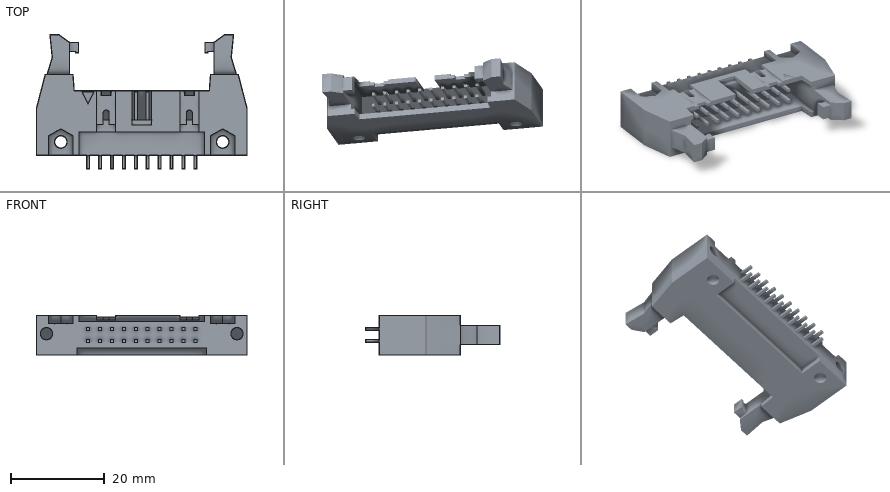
import cadquery as cq


length = 45.0
height = 8.5
mouth_y = 13.8
tower_y = 17.32
shoulder_y = 10.05
tower_outer_x = 20.6
tower_inner_x = 14.65
tower_root_x = 14.4
mid_z = 4.3

wall = 1.05
cavity_floor_y = 7.5
cavity_half_length = 15.4
cavity_top_z = height - wall
cavity_height = 2 * (cavity_top_z - mid_z)

step_y = 5.05
top_step_length = 26.75
top_step_depth = 1.3
bottom_step_length = 27.65
bottom_step_height = 1.58

pins_per_row = 10
pin_row_length = 22.85
pitch = pin_row_length / (pins_per_row - 1)
pin_width = 0.65
pin_tail = 2.9
pin_tip_y = 13.6

key_width = 4.2
key_start_y = 6.5

groove_centers = (-7.6, 10.15)
groove_width = 4.05
groove_depth = 0.3
groove_step_y = 6.6
slot_width = 1.3
slot_end_y = 9.68
notch_width = 2.1
notch_depth = 1.0

mark_center_x = -11.48
mark_width = 2.55
mark_base_y = 13.6
mark_tip_y = 11.02
mark_depth = 0.2

hole_diameter = 2.6
mount_x = 17.3
mount_y = 2.9
pocket_width = 5.2
pocket_side_y = 4.2
pocket_tip_y = 5.65
pocket_depth = 1.75
face_hole_x = 20.35
face_hole_z = 4.6
face_hole_depth = 5.4

latch_tip_y = 25.8
latch_height = 4.15
latch_inner_x = cavity_half_length
latch_root_x = 20.2
latch_waist = (19.12, 20.92)
latch_tip_outer_x = 19.6
latch_tip_inner_x = 17.7
hook_end_x = 13.5
hook_top_y = 24.1
hook_bottom_y = 22.2
hook_height = 2.92
lip_width = 0.65
lip_drop = 0.25


def block(x0, x1, y0, y1, z0, z1):
    """Box between two opposite corners."""
    return cq.Workplane("XY").box(x1 - x0, y1 - y0, z1 - z0, centered=False).translate((x0, y0, z0))


def centered_block(center_x, width, y0, y1, z0, z1):
    """Box of a given width about center_x."""
    return block(center_x - width / 2, center_x + width / 2, y0, y1, z0, z1)


def prism(points, z0, z1):
    """Closed polygon in XY raised from z0 to z1."""
    return cq.Workplane("XY").workplane(offset=z0).polyline(points).close().extrude(z1 - z0)


def both_sides(shape):
    """The shape together with its mirror image across X = 0."""
    return shape.union(shape.mirror("YZ"))


def housing():
    right = [
        (length / 2, 0),
        (length / 2, shoulder_y),
        (tower_outer_x, tower_y),
        (tower_inner_x, tower_y),
        (tower_root_x, mouth_y),
    ]
    left = [(-x, y) for x, y in reversed(right)]
    body = prism(right + left, 0, height)
    cavity = centered_block(
        0, 2 * cavity_half_length, cavity_floor_y, tower_y, cavity_top_z - cavity_height, cavity_top_z
    )
    top_step = centered_block(0, top_step_length, 0, step_y, height - top_step_depth, height)
    bottom_step = centered_block(0, bottom_step_length, 0, step_y, 0, bottom_step_height)
    return body.cut(cavity).cut(top_step).cut(bottom_step)


def key_slot():
    return centered_block(0, key_width, key_start_y, mouth_y, cavity_top_z, height)


def groove(center_x):
    """Shallow groove with a deep end, a round-ended slot and a notch at the mouth."""
    shallow = centered_block(center_x, groove_width, step_y, mouth_y, height - groove_depth, height)
    deep = centered_block(center_x, groove_width, step_y, groove_step_y, cavity_top_z, height)
    slot_center_y = slot_end_y - slot_width / 2
    slot = centered_block(center_x, slot_width, groove_step_y, slot_center_y, cavity_top_z, height)
    slot_end = (
        cq.Workplane("XY").workplane(offset=cavity_top_z)
        .center(center_x, slot_center_y).circle(slot_width / 2).extrude(wall)
    )
    notch = centered_block(center_x, notch_width, mouth_y - notch_depth, mouth_y, cavity_top_z, height)
    return shallow.union(deep).union(slot).union(slot_end).union(notch)


def pin_one_mark():
    triangle = [
        (mark_center_x - mark_width / 2, mark_base_y),
        (mark_center_x + mark_width / 2, mark_base_y),
        (mark_center_x, mark_tip_y),
    ]
    return prism(triangle, height - mark_depth, height)


def mounting_cut():
    """Pointed pocket with a through hole, and a blind hole in the solder face."""
    half = pocket_width / 2
    outline = [
        (mount_x - half, 0),
        (mount_x + half, 0),
        (mount_x + half, pocket_side_y),
        (mount_x, pocket_tip_y),
        (mount_x - half, pocket_side_y),
    ]
    pocket = prism(outline, height - pocket_depth, height)
    through_hole = cq.Workplane("XY").center(mount_x, mount_y).circle(hole_diameter / 2).extrude(height)
    face_hole = (
        cq.Workplane("XZ").center(face_hole_x, face_hole_z).circle(hole_diameter / 2).extrude(-face_hole_depth)
    )
    return pocket.union(through_hole).union(face_hole)


def latch():
    arm_outline = [
        (latch_inner_x, tower_y),
        (latch_root_x, tower_y),
        latch_waist,
        (latch_tip_outer_x, latch_tip_y),
        (latch_tip_inner_x, latch_tip_y),
        (latch_inner_x, hook_top_y),
    ]
    arm = prism(arm_outline, mid_z - latch_height / 2, mid_z + latch_height / 2)
    hook_outline = [
        (latch_inner_x, hook_top_y),
        (hook_end_x, hook_top_y),
        (hook_end_x, hook_bottom_y - lip_drop),
        (hook_end_x + lip_width, hook_bottom_y - lip_drop),
        (hook_end_x + lip_width, hook_bottom_y),
        (latch_inner_x, hook_bottom_y),
    ]
    hook = prism(hook_outline, mid_z - hook_height / 2, mid_z + hook_height / 2)
    return arm.union(hook)


result = housing().cut(key_slot()).cut(pin_one_mark()).cut(both_sides(mounting_cut()))
for groove_x in groove_centers:
    result = result.cut(groove(groove_x))

result = result.union(both_sides(latch()))

for row_z in (mid_z - pitch / 2, mid_z + pitch / 2):
    for index in range(pins_per_row):
        pin_x = index * pitch - pin_row_length / 2
        pin = centered_block(
            pin_x, pin_width, -pin_tail, pin_tip_y, row_z - pin_width / 2, row_z + pin_width / 2
        )
        result = result.union(pin)